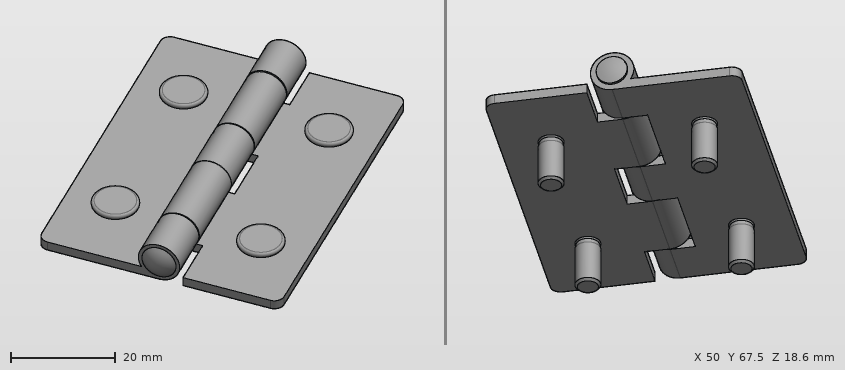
import cadquery as cq
import math

right_side_drop = 0.1

leaf_length = 65.05
leaf_reach = 25.0
leaf_thickness = 2.0
corner_radius = 2.0
barrel_radius = 4.25
slot_edge = barrel_radius + 0.7
leaf_bottom = -barrel_radius
leaf_top = leaf_bottom + leaf_thickness
barrel_end = leaf_length / 2

outer_knuckle_length = 9.85
middle_knuckle_start = 26.7
middle_knuckle_end = 38.4
last_knuckle_start = leaf_length - outer_knuckle_length
knuckle_gap = 0.3
left_knuckles = [
    (0, outer_knuckle_length),
    (middle_knuckle_start, middle_knuckle_end),
    (last_knuckle_start, leaf_length),
]
right_knuckles = [
    (outer_knuckle_length + knuckle_gap, middle_knuckle_start - knuckle_gap),
    (middle_knuckle_end, last_knuckle_start - knuckle_gap),
]
left_slots = [
    (outer_knuckle_length, middle_knuckle_start),
    (middle_knuckle_end, last_knuckle_start),
]
right_slots = [
    (0, outer_knuckle_length + knuckle_gap),
    (middle_knuckle_start - knuckle_gap, middle_knuckle_end),
    (last_knuckle_start - knuckle_gap, leaf_length),
]

pin_total_length = 67.55
pin_radius = 3.05
pin_tail_straight = 0.5
pin_tail_dome_height = 0.55
pin_head_radius = 3.5
pin_head_height = pin_total_length - leaf_length - pin_tail_straight - pin_tail_dome_height

stud_spacing_x = 30.0
stud_spacing_y = 35.05
stud_radius = 2.5
stud_length = 10.0
stud_tip_chamfer = 0.5
stud_head_radius = 4.65
stud_head_height = 1.15
groove_radius = 2.3
groove_waist_depth = 0.35
groove_depth = 1.3
stud_x = stud_spacing_x / 2
stud_y = stud_spacing_y / 2


def bar_along_y(radius, start, end):
    """Round bar on the barrel axis between two distances from the barrel's +Y end."""
    return cq.Workplane("XZ", origin=(0, barrel_end - start, 0)).circle(radius).extrude(end - start)


def leaf(side, drop, knuckles, slots):
    """One leaf with its knuckles; side is -1 for the -X leaf and +1 for the +X leaf."""
    body = (
        cq.Workplane("XY", origin=(side * leaf_reach / 2, 0, leaf_bottom))
        .rect(leaf_reach, leaf_length)
        .extrude(leaf_thickness)
        .edges("|Z")
        .edges("<X" if side < 0 else ">X")
        .fillet(corner_radius)
    )
    for start, end in slots:
        slot_middle = barrel_end - (start + end) / 2
        slot = (
            cq.Workplane("XY", origin=(0, slot_middle, leaf_bottom))
            .rect(2 * slot_edge, end - start)
            .extrude(leaf_thickness)
        )
        body = body.cut(slot)
    for start, end in knuckles:
        body = body.union(bar_along_y(barrel_radius, start, end))
    stud_holes = (
        cq.Workplane("XY", origin=(side * stud_x, 0, leaf_bottom))
        .rarray(0.7, stud_spacing_y, 1, 2)
        .circle(stud_radius)
        .extrude(leaf_thickness)
    )
    dropped = body.cut(stud_holes).translate((0, 0, -drop))
    return dropped.cut(bar_along_y(pin_radius, 0, leaf_length))


def cap_midpoint(base_radius, height):
    """Point halfway along a spherical cap's profile, as (radius, height above its base)."""
    sphere_radius = (base_radius**2 + height**2) / (2 * height)
    half_angle = math.asin(base_radius / sphere_radius) / 2
    rise = height - sphere_radius * (1 - math.cos(half_angle))
    return sphere_radius * math.sin(half_angle), rise


def hinge_pin():
    """Round pin with a domed head at -Y and a shallow domed tail at +Y."""
    head_mid_radius, head_mid_rise = cap_midpoint(pin_head_radius, pin_head_height)
    tail_mid_radius, tail_mid_rise = cap_midpoint(pin_radius, pin_tail_dome_height)
    tail_base = barrel_end + pin_tail_straight
    return (
        cq.Workplane("XY")
        .moveTo(0, -barrel_end - pin_head_height)
        .threePointArc((head_mid_radius, -barrel_end - head_mid_rise), (pin_head_radius, -barrel_end))
        .lineTo(pin_radius, -barrel_end)
        .lineTo(pin_radius, tail_base)
        .threePointArc((tail_mid_radius, tail_base + tail_mid_rise), (0, tail_base + pin_tail_dome_height))
        .close()
        .revolve(360, (0, 0, 0), (0, 1, 0))
    )


def stud(x, y, drop):
    """Stud with a round-edged head on top of the leaf and a grooved shank below it."""
    rounding = stud_head_height / 2
    head_flat_radius = stud_head_radius - rounding
    head_top = leaf_top + stud_head_height
    tip = leaf_bottom - stud_length
    profile = (
        cq.Workplane("XZ")
        .moveTo(0, tip)
        .lineTo(stud_radius - stud_tip_chamfer, tip)
        .lineTo(stud_radius, tip + stud_tip_chamfer)
        .lineTo(stud_radius, leaf_bottom - groove_depth)
        .lineTo(groove_radius, leaf_bottom - groove_waist_depth)
        .lineTo(stud_radius, leaf_bottom)
        .lineTo(stud_radius, leaf_top)
        .lineTo(head_flat_radius, leaf_top)
        .threePointArc((stud_head_radius, leaf_top + rounding), (head_flat_radius, head_top))
        .lineTo(0, head_top)
        .close()
    )
    return profile.revolve(360, (0, 0, 0), (0, 1, 0)).translate((x, y, -drop))


left_leaf = leaf(-1, 0, left_knuckles, left_slots)
right_leaf = leaf(1, right_side_drop, right_knuckles, right_slots)
pin = hinge_pin()

studs = []
for x, drop in ((-stud_x, 0), (stud_x, right_side_drop)):
    for y in (-stud_y, stud_y):
        studs.append(stud(x, y, drop).val())

result = cq.Compound.makeCompound([left_leaf.val(), right_leaf.val(), pin.val(), *studs])